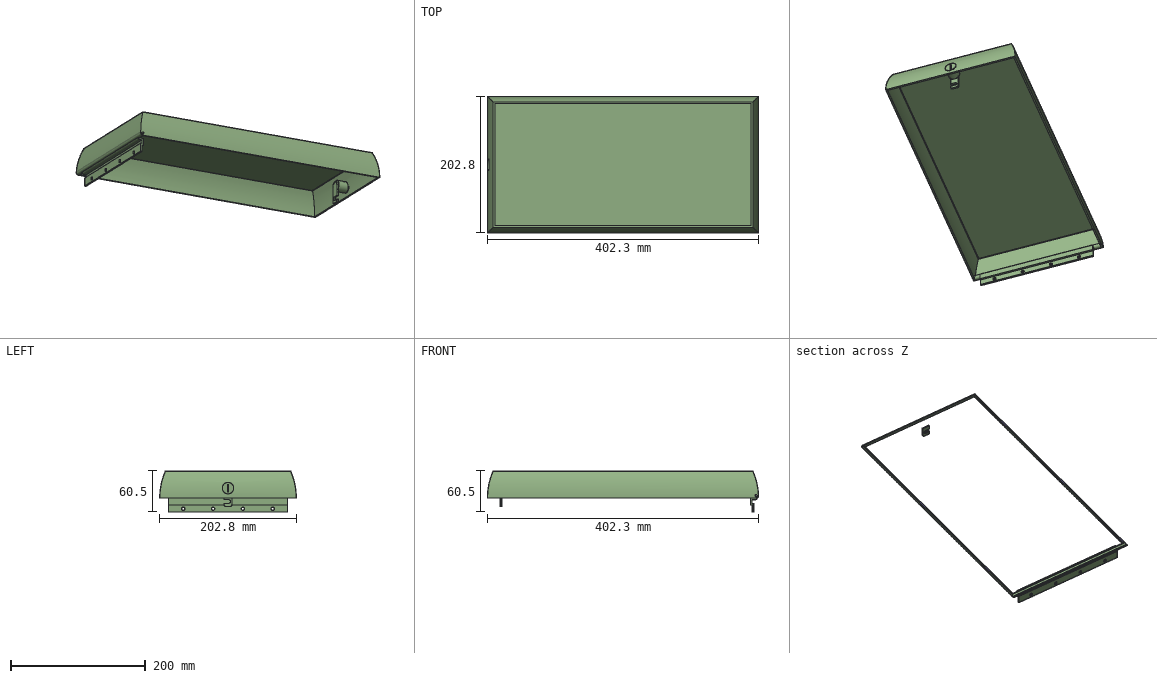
import cadquery as cq
import math

COVER_LENGTH = 402.29
COVER_WIDTH = 202.8
COVER_HEIGHT = 40.0
TOP_INSET = 8.3
WALL = 2.5
TOP_WALL = 3.0
SIDE_RADIUS = (COVER_HEIGHT**2 + TOP_INSET**2) / (2 * TOP_INSET)

FRAME_WIDTH = 2.8
PANEL_LENGTH = COVER_LENGTH - 2 * (TOP_INSET + FRAME_WIDTH)
PANEL_WIDTH = COVER_WIDTH - 2 * (TOP_INSET + FRAME_WIDTH)

BARREL_RADIUS = 3.75
BARREL_BORE_RADIUS = 1.5
BARREL_X = COVER_LENGTH / 2 - BARREL_RADIUS
BARREL_Z = BARREL_RADIUS

SHEET = 2.5
BRACKET_WIDTH = 176.6
BRACKET_X = 189.0
FLANGE_END_X = 195.6
CURL_RADIUS = 3.5
JOG_Z = -10.4
BRACKET_BOTTOM = -20.5
HOLE_DIAMETER = 4.5
HOLE_SPACING = 44.2
HOLE_COUNT = 4
HOLE_Z = -15.6

LOCK_Z = 15.0
HEAD_RADIUS = 8.5
HEAD_X = -199.0
SLOT_LENGTH = 11.0
SLOT_WIDTH = 1.5
SLOT_DEPTH = 2.0
CAM_WIDTH = 12.0
CAM_THICKNESS = 2.6
CAM_X = -182.3
CAM_BOTTOM = -12.0
CAM_CORNER_RADIUS = 2.2
NOTCH_RADIUS = 2.7
NOTCH_Z = -4.9
NOTCH_END_Y = -3.8


def bulging_section(plane, width, depth, inset, top):
    """Bar of the given depth with two arc-shaped sides, set in from the outer side faces."""
    radius = SIDE_RADIUS - inset
    half_width = width / 2 - inset

    def side(z):
        return half_width - radius + math.sqrt(radius**2 - z**2)

    return (
        cq.Workplane(plane)
        .moveTo(-half_width, 0)
        .threePointArc((-side(top / 2), top / 2), (-side(top), top))
        .lineTo(side(top), top)
        .threePointArc((side(top / 2), top / 2), (half_width, 0))
        .close()
        .extrude(depth / 2, both=True)
    )


def hood_crosswise(inset, top):
    """Hood outline seen along X, as long as the cover."""
    return bulging_section("YZ", COVER_WIDTH, COVER_LENGTH, inset, top)


def hood(inset, top):
    """Solid hood whose four bulging sides meet in mitred corners."""
    lengthwise = bulging_section("XZ", COVER_LENGTH, COVER_WIDTH, inset, top)
    return lengthwise.intersect(hood_crosswise(inset, top))


def along_x(x, y, z, radius, length):
    """Cylinder pointing along +X from the given point."""
    return cq.Workplane("YZ", origin=(x, y, z)).circle(radius).extrude(length)


def along_y(x, z, radius):
    """Cylinder along Y over the full width of the cover."""
    return cq.Workplane("XZ", origin=(x, 0, z)).circle(radius).extrude(COVER_WIDTH / 2, both=True)


def make_panel():
    return (
        cq.Workplane("XY", origin=(0, 0, COVER_HEIGHT - TOP_WALL))
        .rect(PANEL_LENGTH, PANEL_WIDTH)
        .extrude(TOP_WALL)
    )


def make_lock():
    barrel = along_x(HEAD_X, 0, LOCK_Z, HEAD_RADIUS, CAM_X - HEAD_X)
    slot = cq.Workplane("XY").box(2 * SLOT_DEPTH, SLOT_WIDTH, SLOT_LENGTH).translate((HEAD_X, 0, LOCK_Z))
    cam = (
        cq.Workplane("YZ", origin=(CAM_X, 0, (LOCK_Z + CAM_BOTTOM) / 2))
        .rect(CAM_WIDTH, LOCK_Z - CAM_BOTTOM)
        .extrude(CAM_THICKNESS)
        .edges("|X and <Z")
        .fillet(CAM_CORNER_RADIUS)
        .union(along_x(CAM_X, 0, LOCK_Z, CAM_WIDTH / 2, CAM_THICKNESS))
    )
    notch_y = NOTCH_END_Y + NOTCH_RADIUS
    notch = along_x(CAM_X, notch_y, NOTCH_Z, NOTCH_RADIUS, CAM_THICKNESS).union(
        cq.Workplane("XY")
        .box(CAM_THICKNESS, CAM_WIDTH, 2 * NOTCH_RADIUS, centered=(False, False, True))
        .translate((CAM_X, notch_y, NOTCH_Z))
    )
    return barrel.cut(slot).union(cam.cut(notch))


def make_cover():
    body = hood(0, COVER_HEIGHT).cut(hood(WALL, COVER_HEIGHT - TOP_WALL))
    barrel = along_y(BARREL_X, BARREL_Z, BARREL_RADIUS).intersect(hood_crosswise(0, COVER_HEIGHT))
    corner = (
        cq.Workplane("XY")
        .box(BARREL_RADIUS, COVER_WIDTH, BARREL_Z, centered=(False, True, False))
        .translate((BARREL_X, 0, 0))
    )
    bore = along_y(BARREL_X, BARREL_Z, BARREL_BORE_RADIUS)
    lock_hole = along_x(-COVER_LENGTH / 2, 0, LOCK_Z, HEAD_RADIUS, COVER_LENGTH / 2 + CAM_X)
    return body.cut(corner).union(barrel).cut(bore).cut(make_panel()).cut(lock_hole)


def make_bracket():
    inner_x = BRACKET_X + SHEET
    tip_x = FLANGE_END_X + math.sqrt(CURL_RADIUS**2 - (CURL_RADIUS - SHEET) ** 2)
    sheet = (
        cq.Workplane("XZ")
        .moveTo(BRACKET_X, 0)
        .lineTo(tip_x, 0)
        .radiusArc((FLANGE_END_X, -SHEET), CURL_RADIUS)
        .lineTo(inner_x, -SHEET)
        .lineTo(inner_x, JOG_Z + SHEET)
        .lineTo(inner_x + SHEET, JOG_Z + SHEET)
        .lineTo(inner_x + SHEET, BRACKET_BOTTOM)
        .lineTo(inner_x, BRACKET_BOTTOM)
        .lineTo(inner_x, JOG_Z)
        .lineTo(BRACKET_X, JOG_Z)
        .close()
        .extrude(BRACKET_WIDTH / 2, both=True)
    )
    for index in range(HOLE_COUNT):
        y = (index - (HOLE_COUNT - 1) / 2) * HOLE_SPACING
        sheet = sheet.cut(along_x(inner_x, y, HOLE_Z, HOLE_DIAMETER / 2, SHEET))
    return sheet


cover = make_cover()
panel = make_panel()
lock = make_lock()
bracket = make_bracket()

result = cq.Compound.makeCompound([cover.val(), panel.val(), lock.val(), bracket.val()])